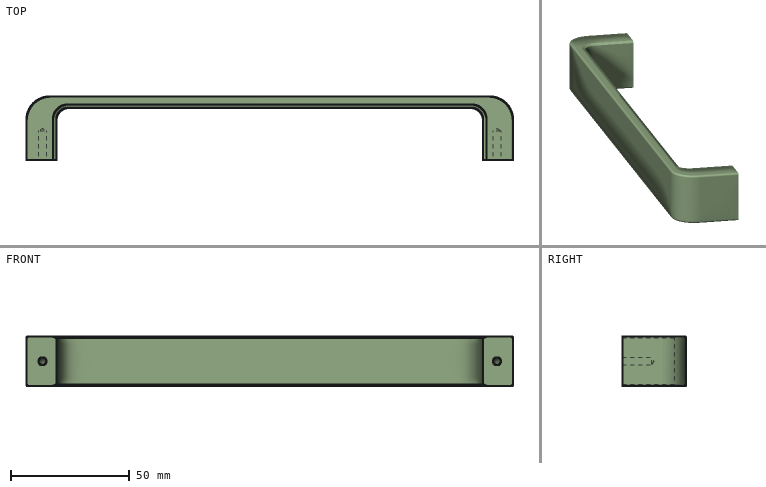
import cadquery as cq
import math

length = 206.0
depth = 27.0
height = 21.0

leg_width = 12.8
bar_thickness = 5.0
outer_radius = 10.0
inner_radius = 5.0

rim_radius = 0.8
bevel_width = 1.55
bevel_drop = 0.72

hole_diameter = 3.3
hole_inset = 6.8
hole_depth = 12.4
drill_tip_angle = 118.0

back_y = depth / 2
foot_y = -depth / 2
opening_half_width = length / 2 - leg_width
opening_y = back_y - bar_thickness
hole_x = length / 2 - hole_inset


def bent_outline(plane, half_width, far_y, corner_radius):
    """Outline from the feet to far_y, with its two far corners rounded."""
    return (
        plane.moveTo(-half_width, foot_y)
        .lineTo(-half_width, far_y - corner_radius)
        .radiusArc((-half_width + corner_radius, far_y), corner_radius)
        .lineTo(half_width - corner_radius, far_y)
        .radiusArc((half_width, far_y - corner_radius), corner_radius)
        .lineTo(half_width, foot_y)
        .close()
    )


def outer_block():
    """Solid bent block whose top and bottom rims are rounded, except at the feet."""
    base = cq.Workplane("XY", origin=(0, 0, -height / 2))
    block = bent_outline(base, length / 2, back_y, outer_radius).extrude(height)
    rims = block.faces("|Z").edges().edges("not(<Y)")
    return rims.fillet(rim_radius)


def opening_flare(side):
    """Layer that widens the opening at its rim; side is +1 for the top, -1 for the bottom."""
    start = cq.Workplane("XY", origin=(0, 0, side * (height / 2 - bevel_drop)))
    narrow = bent_outline(start, opening_half_width, opening_y, inner_radius)
    return bent_outline(
        narrow.workplane(offset=side * bevel_drop),
        opening_half_width + bevel_width,
        opening_y + bevel_width,
        inner_radius + bevel_width,
    ).loft(ruled=True)


def hand_opening():
    """Space between the legs, flared at the top and bottom."""
    base = cq.Workplane("XY", origin=(0, 0, -height / 2))
    opening = bent_outline(base, opening_half_width, opening_y, inner_radius).extrude(height)
    for side in (1, -1):
        opening = opening.union(opening_flare(side))
    return opening


def mounting_hole(x):
    """Drilled hole entering the foot at x and running along +Y."""
    radius = hole_diameter / 2
    tip_length = radius / math.tan(math.radians(drill_tip_angle / 2))
    tip_y = hole_depth + tip_length
    return (
        cq.Workplane("XY", origin=(x, foot_y, 0))
        .polyline([(0, 0), (radius, 0), (radius, hole_depth), (0, tip_y)])
        .close()
        .revolve(360, (0, 0), (0, 1))
    )


result = outer_block().cut(hand_opening())
for hole_center_x in (-hole_x, hole_x):
    result = result.cut(mounting_hole(hole_center_x))